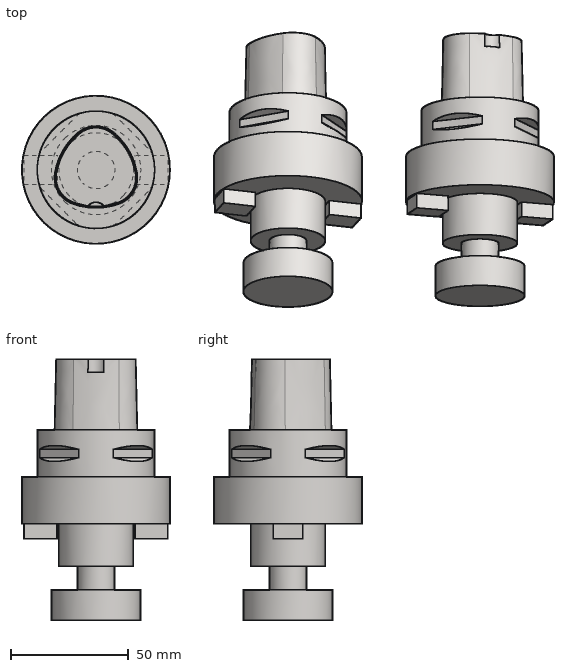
import cadquery as cq
import math

total_height = 111.0
head_diameter = 38.0
head_height = 13.0
neck_diameter = 15.9
neck_height = 10.0
pilot_diameter = 31.7
pilot_height = 18.0
flange_diameter = 63.0
flange_height = 20.0
collar_diameter = 50.0
collar_height = 20.0

key_inner_x = 16.5
key_length = 14.1
key_width = 12.4
key_height = 6.3

groove_count = 4
groove_depth = 2.9
groove_floor_height = 3.4
groove_side_angle = 30.0

lobe_count = 3
lobe_center_distance = 6.7
lobe_top_radius = 11.2
flank_half_angle = math.radians(20.0)
shank_flare = 0.7

notch_radius = 4.2
notch_inner_y = -13.8
notch_height = 5.5

neck_base_z = head_height
pilot_base_z = neck_base_z + neck_height
flange_base_z = pilot_base_z + pilot_height
collar_base_z = flange_base_z + flange_height
shank_base_z = collar_base_z + collar_height


def cylinder(diameter, height, base_z):
    return cq.Workplane("XY", origin=(0, 0, base_z)).circle(diameter / 2).extrude(height)


def polar_point(radius, angle, center=(0.0, 0.0)):
    return (center[0] + radius * math.cos(angle), center[1] + radius * math.sin(angle))


def lobed_wire(z, lobe_radius):
    """Closed lobed outline at height z, with its first lobe pointing to +Y."""
    lobe_spacing = 2 * math.pi / lobe_count
    half_spacing = lobe_spacing / 2
    lobe_half_angle = half_spacing - flank_half_angle

    center_offset = lobe_center_distance * math.sin(half_spacing) / math.sin(flank_half_angle)
    flank_center_distance = (
        center_offset * math.cos(flank_half_angle) - lobe_center_distance * math.cos(half_spacing)
    )
    flank_reach = lobe_radius + center_offset - flank_center_distance
    lobe_reach = lobe_center_distance + lobe_radius

    first_lobe = math.pi / 2
    first_center = polar_point(lobe_center_distance, first_lobe)
    start = polar_point(lobe_radius, first_lobe - lobe_half_angle, first_center)
    outline = cq.Workplane("XY", origin=(0, 0, z)).moveTo(*start)
    for index in range(lobe_count):
        axis = first_lobe + index * lobe_spacing
        next_axis = axis + lobe_spacing
        center = polar_point(lobe_center_distance, axis)
        next_center = polar_point(lobe_center_distance, next_axis)
        lobe_end = polar_point(lobe_radius, axis + lobe_half_angle, center)
        flank_end = polar_point(lobe_radius, next_axis - lobe_half_angle, next_center)
        outline = outline.threePointArc(polar_point(lobe_reach, axis), lobe_end)
        outline = outline.threePointArc(polar_point(flank_reach, axis + half_spacing), flank_end)
    return outline.close().val()


def shank():
    base = lobed_wire(shank_base_z, lobe_top_radius + shank_flare)
    top = lobed_wire(total_height, lobe_top_radius)
    return cq.Workplane(cq.Solid.makeLoft([base, top], True))


def shank_notch():
    return cylinder(2 * notch_radius, notch_height, total_height - notch_height).translate(
        (0, notch_inner_y - notch_radius, 0)
    )


def drive_key(side):
    center_x = side * (key_inner_x + key_length / 2)
    return (
        cq.Workplane("XY", origin=(center_x, 0, flange_base_z - key_height))
        .rect(key_length, key_width)
        .extrude(key_height)
    )


def gripper_groove(angle):
    """Straight trapezoidal cutter, flush with the collar's outer radius."""
    outer_x = collar_diameter / 2
    floor_x = outer_x - groove_depth
    floor_half = groove_floor_height / 2
    mouth_half = floor_half + groove_depth * math.tan(math.radians(groove_side_angle))
    return (
        cq.Workplane("XZ", origin=(0, 0, collar_base_z + collar_height / 2))
        .polyline(
            [(floor_x, -floor_half), (outer_x, -mouth_half), (outer_x, mouth_half), (floor_x, floor_half)]
        )
        .close()
        .extrude(outer_x, both=True)
        .rotate((0, 0, 0), (0, 0, 1), angle)
    )


collar = cylinder(collar_diameter, collar_height, collar_base_z)
groove_spacing = 360 / groove_count
for groove_index in range(groove_count):
    collar = collar.cut(gripper_groove((groove_index + 0.5) * groove_spacing))

result = (
    cylinder(head_diameter, head_height, 0)
    .union(cylinder(neck_diameter, neck_height, neck_base_z))
    .union(cylinder(pilot_diameter, pilot_height, pilot_base_z))
    .union(cylinder(flange_diameter, flange_height, flange_base_z))
    .union(collar)
    .union(shank().cut(shank_notch()))
)
for key_side in (-1, 1):
    result = result.union(drive_key(key_side))